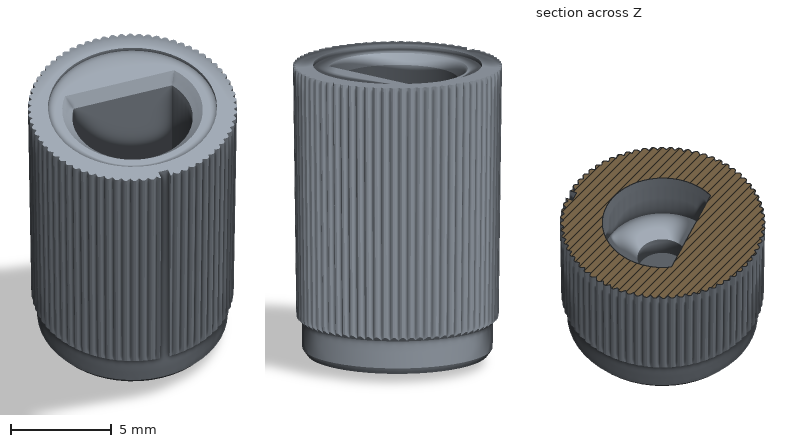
import cadquery as cq
import math

total_height = 15.2
top_radius = 5.2
neck_radius = 4.75

dome_height = 0.47
end_chamfer_width = 0.25
end_chamfer_height = 0.33
dome_radius = neck_radius - end_chamfer_width

tooth_count = 72
grip_bottom_radius = 5.03
groove_depth = 0.17
crest_height = 0.05
groove_share = 0.5
crest_share = 0.25
bevel_height = 0.21
neck_top = 2.2

notch_width = 0.5

recess_diameter = 8.4
recess_depth = 0.2
bore_radius = 3.0
bore_flat_distance = 1.5
bore_depth = 10.0
lead_in = 0.5
pilot_diameter = 2.5
pilot_depth = 1.0

bore_top = total_height - recess_depth
bore_bottom = bore_top - bore_depth


def polar(radius, angle):
    """X and Y of a point at a radius and angle around the axis."""
    return radius * math.cos(angle), radius * math.sin(angle)


def toothed_outline(tip_radius):
    """Corners of the knurl: on every pitch a V-groove, then a flat crest with chamfered edges."""
    pitch = 2 * math.pi / tooth_count
    half_mouth = groove_share * pitch / 2
    half_crest = crest_share * pitch / 2
    shoulder_radius = tip_radius - crest_height
    corners = []
    for tooth in range(tooth_count):
        angle = tooth * pitch
        corners.append(polar(shoulder_radius, angle - half_mouth))
        corners.append(polar(tip_radius - groove_depth, angle))
        corners.append(polar(shoulder_radius, angle + half_mouth))
        corners.append(polar(tip_radius, angle + pitch / 2 - half_crest))
        corners.append(polar(tip_radius, angle + pitch / 2 + half_crest))
    return corners


def d_prism(radius, flat_distance, bottom, height):
    """Upright D-shaped prism with its flat on the -X side."""
    half_flat = math.sqrt(radius**2 - flat_distance**2)
    return (
        cq.Workplane("XY", origin=(0, 0, bottom))
        .moveTo(-flat_distance, -half_flat)
        .threePointArc((radius, 0), (-flat_distance, half_flat))
        .close()
        .extrude(height)
    )


def lead_in_cutter():
    """45 degree cone, cut off on the -X side by a flat leaning outward at the same angle."""
    cone = (
        cq.Workplane("XY", origin=(0, 0, bore_top))
        .circle(bore_radius + lead_in)
        .extrude(-lead_in, taper=45)
    )
    flat_side = (
        cq.Workplane("XZ", origin=(0, bore_radius + lead_in, 0))
        .moveTo(-bore_flat_distance, bore_top - lead_in)
        .lineTo(-bore_flat_distance - lead_in, bore_top)
        .lineTo(bore_radius + lead_in, bore_top)
        .lineTo(bore_radius + lead_in, bore_top - lead_in)
        .close()
        .extrude(2 * (bore_radius + lead_in))
    )
    return cone.intersect(flat_side)


def make_core():
    """Neck with its chamfered, domed end, reaching up inside the grip."""
    dome_sphere_radius = (dome_radius**2 + dome_height**2) / (2 * dome_height)
    mid_x = dome_radius / 2
    mid_z = dome_sphere_radius - math.sqrt(dome_sphere_radius**2 - mid_x**2)
    return (
        cq.Workplane("XZ")
        .moveTo(0, 0)
        .threePointArc((mid_x, mid_z), (dome_radius, dome_height))
        .lineTo(neck_radius, dome_height + end_chamfer_height)
        .lineTo(neck_radius, total_height)
        .lineTo(0, total_height)
        .close()
        .revolve(360, (0, 0, 0), (0, 1, 0))
    )


def make_grip():
    """Tapered knurl with its lower rim bevelled at 45 degrees and the index notch cut through."""
    grip_height = total_height - neck_top
    grip = (
        cq.Workplane("XY", origin=(0, 0, neck_top))
        .polyline(toothed_outline(grip_bottom_radius))
        .close()
        .workplane(offset=grip_height)
        .polyline(toothed_outline(top_radius))
        .close()
        .loft(ruled=True)
    )
    bevel_inner_radius = grip_bottom_radius - bevel_height
    envelope_radius = top_radius + bevel_height
    bevelled_envelope = (
        cq.Workplane("XZ")
        .moveTo(0, neck_top)
        .lineTo(bevel_inner_radius, neck_top)
        .lineTo(envelope_radius, neck_top + envelope_radius - bevel_inner_radius)
        .lineTo(envelope_radius, total_height)
        .lineTo(0, total_height)
        .close()
        .revolve(360, (0, 0, 0), (0, 1, 0))
    )
    notch = (
        cq.Workplane("XY", origin=(neck_radius, 0, neck_top))
        .rect(2 * (top_radius - neck_radius), notch_width)
        .extrude(grip_height)
    )
    return grip.intersect(bevelled_envelope).cut(notch)


def make_bore():
    """Recess, D bore with a 45 degree lead-in on every edge, and the pilot hole in its floor."""
    recess = (
        cq.Workplane("XY", origin=(0, 0, bore_top))
        .circle(recess_diameter / 2)
        .extrude(recess_depth)
    )
    shaft_bore = d_prism(bore_radius, bore_flat_distance, bore_bottom, bore_depth)
    pilot = (
        cq.Workplane("XY", origin=(0, 0, bore_bottom - pilot_depth))
        .circle(pilot_diameter / 2)
        .extrude(pilot_depth)
    )
    return recess.union(lead_in_cutter()).union(shaft_bore).union(pilot)


result = make_core().union(make_grip()).cut(make_bore())